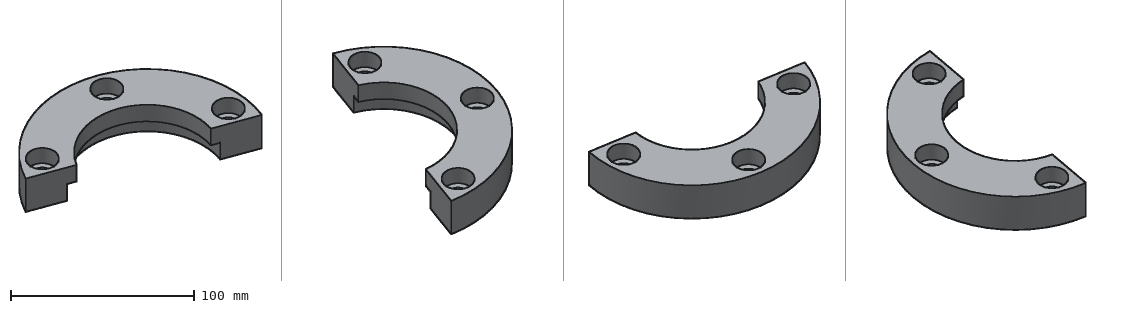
import cadquery as cq
import math

inner_radius = 40.0
height = 24.0
end_setback = 5.0
end_to_end_length = 139.6
outer_radius = math.hypot(end_to_end_length / 2, end_setback)

bolt_circle_radius = 57.5
hole_diameter = 11.0
counterbore_diameter = 18.0
counterbore_depth = 11.0
bolt_spacing_angle = 72.8

step_radius = 45.5
step_height = 12.0


def cylinder(radius, length):
    return cq.Workplane("XY").circle(radius).extrude(length)


def ring_segment():
    ring = cylinder(outer_radius, height).cut(cylinder(inner_radius, height))
    kept_side = (
        cq.Workplane("XY")
        .box(outer_radius, 2 * outer_radius, height, centered=(False, True, False))
        .translate((-outer_radius - end_setback, 0, 0))
    )
    return ring.intersect(kept_side)


def bolt_positions():
    angles = [math.radians(180 + i * bolt_spacing_angle) for i in (-1, 0, 1)]
    return [(bolt_circle_radius * math.cos(a), bolt_circle_radius * math.sin(a)) for a in angles]


body = ring_segment().cut(cylinder(step_radius, step_height))

result = (
    body.faces(">Z")
    .workplane(origin=(0, 0, height))
    .pushPoints(bolt_positions())
    .cboreHole(hole_diameter, counterbore_diameter, counterbore_depth)
)